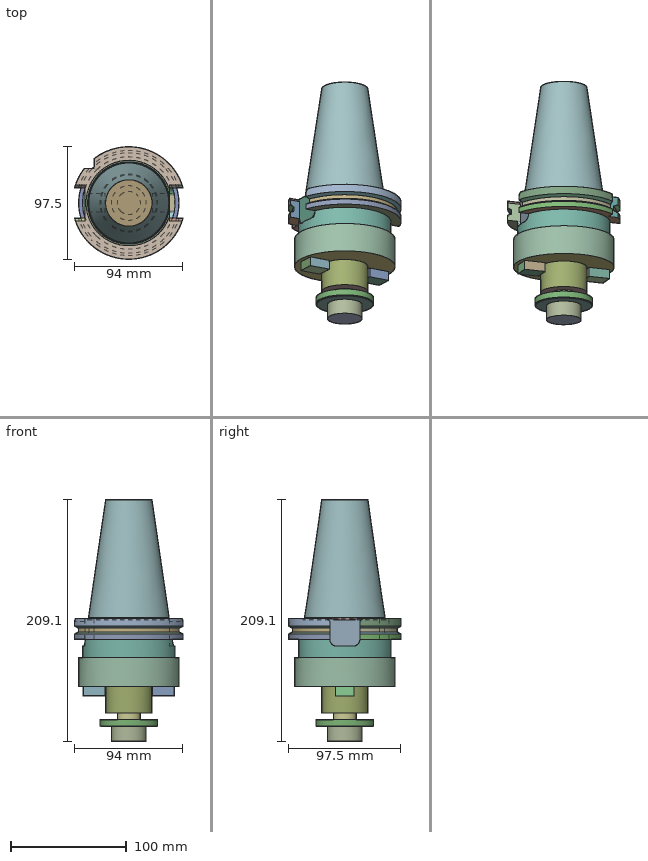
import cadquery as cq
import math


taper_length = 101.75
gauge_diameter = 69.85
taper_ratio = 7 / 24
taper_tip_diameter = gauge_diameter - taper_ratio * taper_length

relief_diameter = 69.25
relief_groove_diameter = 71.3
relief_groove_depth = 1.5
recess_diameter = 74.0
recess_depth = 0.5

flange_diameter = 97.5
flange_top = -1.0
flange_bottom = -19.1
groove_diameter = 91.0
groove_centre = -11.1
groove_mouth_width = 7.0
groove_flank_angle = 30

neck_diameter = 80.0
body_diameter = 87.0
body_top = -35.0
body_bottom = -60.0

spigot_diameter = 40.0
spigot_bottom = -83.0
screw_shank_diameter = 20.0
washer_diameter = 50.0
washer_top = -88.6
washer_bottom = -94.6
washer_chamfer = 0.7
screw_head_diameter = 30.0
screw_bottom = -107.35

slot_width = 26.0
slot_bottom = -25.0
slot_corner_radius = 6.0
slot_mouth_chamfer = 2.5
left_slot_floor = 37.7
right_slot_floor = 35.3

notch_offset = 30.0

lug_width = 16.0
lug_height = 8.0
lug_inner = 20.4
lug_outer = 39.5


def turned_profile():
    """Half section of the turned part, from the taper tip down to the screw."""
    flank_height = (flange_diameter - groove_diameter) / 2 * math.tan(math.radians(groove_flank_angle))
    mouth_half = groove_mouth_width / 2
    floor_half = mouth_half - flank_height
    recess_floor = flange_top - recess_depth
    relief_bottom = flange_top - relief_groove_depth
    diameters_and_heights = [
        (0, taper_length),
        (taper_tip_diameter, taper_length),
        (gauge_diameter, 0),
        (relief_diameter, 0),
        (relief_diameter, relief_bottom),
        (relief_groove_diameter, relief_bottom),
        (relief_groove_diameter, recess_floor),
        (recess_diameter, recess_floor),
        (recess_diameter, flange_top),
        (flange_diameter, flange_top),
        (flange_diameter, groove_centre + mouth_half),
        (groove_diameter, groove_centre + floor_half),
        (groove_diameter, groove_centre - floor_half),
        (flange_diameter, groove_centre - mouth_half),
        (flange_diameter, flange_bottom),
        (neck_diameter, flange_bottom),
        (neck_diameter, body_top),
        (body_diameter, body_top),
        (body_diameter, body_bottom),
        (spigot_diameter, body_bottom),
        (spigot_diameter, spigot_bottom),
        (screw_shank_diameter, spigot_bottom),
        (screw_shank_diameter, washer_top),
        (washer_diameter, washer_top),
        (washer_diameter, washer_bottom + washer_chamfer),
        (washer_diameter - 2 * washer_chamfer, washer_bottom),
        (screw_head_diameter, washer_bottom),
        (screw_head_diameter, screw_bottom),
        (0, screw_bottom),
    ]
    return [(diameter / 2, height) for diameter, height in diameters_and_heights]


def turned_body():
    return cq.Workplane("XZ").polyline(turned_profile()).close().revolve(360, (0, 0), (0, 1))


def driving_slot(side, floor_distance):
    """Cutter for one driving slot; side is -1 for -X and +1 for +X."""
    half = slot_width / 2
    mouth_half = half + slot_mouth_chamfer
    corner_start = slot_bottom + slot_corner_radius
    flat_half = half - slot_corner_radius
    depth = flange_diameter / 2 - floor_distance
    return (
        cq.Workplane("YZ")
        .workplane(offset=side * floor_distance)
        .moveTo(-mouth_half, flange_top)
        .lineTo(-half, flange_top - slot_mouth_chamfer)
        .lineTo(-half, corner_start)
        .radiusArc((-flat_half, slot_bottom), -slot_corner_radius)
        .lineTo(flat_half, slot_bottom)
        .radiusArc((half, corner_start), -slot_corner_radius)
        .lineTo(half, flange_top - slot_mouth_chamfer)
        .lineTo(mouth_half, flange_top)
        .close()
        .extrude(side * depth)
    )


def orientation_notch():
    """Square-cornered cutter through the flange rim in the -X, +Y quadrant."""
    size = flange_diameter / 2 - notch_offset
    return cq.Workplane("XY").box(size, size, flange_top - flange_bottom, centered=False).translate(
        (-notch_offset - size, notch_offset, flange_bottom)
    )


def driving_lug(side):
    """Rectangular lug under the body; side is -1 for -X and +1 for +X."""
    centre = side * (lug_inner + lug_outer) / 2
    return (
        cq.Workplane("XY")
        .workplane(offset=body_bottom)
        .center(centre, 0)
        .rect(lug_outer - lug_inner, lug_width)
        .extrude(-lug_height)
    )


result = turned_body()
for side, floor_distance in ((-1, left_slot_floor), (1, right_slot_floor)):
    result = result.cut(driving_slot(side, floor_distance))
    result = result.union(driving_lug(side))
result = result.cut(orientation_notch())